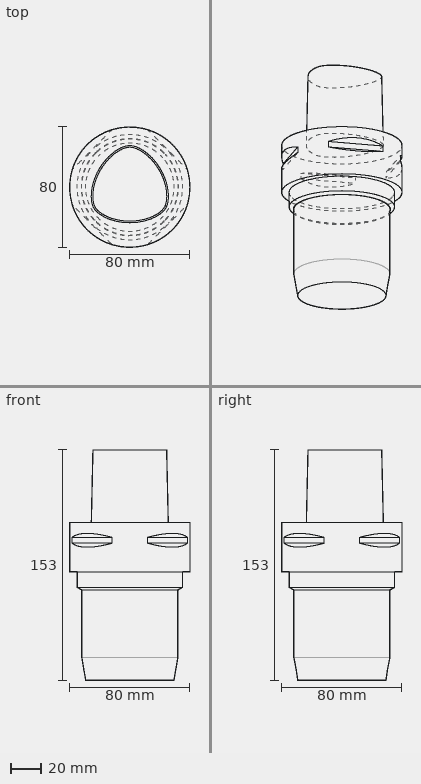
import cadquery as cq
import math

total_height = 153.0
collar_top = 105.0
collar_bottom = 72.0
step_bottom = 60.1
nose_top = 15.1

collar_radius = 80.0 / 2
step_radius = 70.0 / 2
body_radius = 64.0 / 2
nose_end_radius = 58.8 / 2
step_chamfer_height = 1.7
step_chamfer_width = 2.8

shank_base_diameter = 51.3
shank_top_diameter = 49.1
shank_eccentricity = 2.0
curve_points = 72

notch_count = 4
notch_first_angle = 45.0
notch_center_height = 93.0
notch_floor_height = 3.8
notch_floor_distance = 35.3
notch_flank_angle = 30.0
notch_overshoot = 1.5


def turned_body():
    profile = (
        cq.Workplane("XZ")
        .lineTo(nose_end_radius, 0)
        .lineTo(body_radius, nose_top)
        .lineTo(body_radius, step_bottom)
        .lineTo(step_radius - step_chamfer_width, step_bottom)
        .lineTo(step_radius, step_bottom + step_chamfer_height)
        .lineTo(step_radius, collar_bottom)
        .lineTo(collar_radius, collar_bottom)
        .lineTo(collar_radius, collar_top)
        .lineTo(0, collar_top)
        .close()
    )
    return profile.revolve(360, (0, 0, 0), (0, 1, 0))


def lobed_section(diameter, height):
    """Closed constant-width outline with one lobe pointing along +Y."""
    radius = diameter / 2
    e = shank_eccentricity

    def point(t):
        x = radius * math.sin(t) + 2 * e * math.sin(2 * t) + e * math.sin(4 * t)
        y = -radius * math.cos(t) + 2 * e * math.cos(2 * t) - e * math.cos(4 * t)
        return cq.Vector(x, y, height)

    points = [point(2 * math.pi * i / curve_points) for i in range(curve_points)]
    return cq.Wire.assembleEdges([cq.Edge.makeSpline(points, periodic=True)])


def shank():
    base = lobed_section(shank_base_diameter, collar_top)
    top = lobed_section(shank_top_diameter, total_height)
    return cq.Workplane(cq.Solid.makeLoft([base, top], True))


def notch_cutter(angle):
    """Trapezoidal prism that cuts a flat floor and two sloping flanks."""
    outer_distance = collar_radius + notch_overshoot
    flank_slope = math.tan(math.radians(notch_flank_angle))
    flank_rise = (outer_distance - notch_floor_distance) * flank_slope
    half_floor = notch_floor_height / 2
    half_mouth = half_floor + flank_rise
    return (
        cq.Workplane("XZ")
        .moveTo(notch_floor_distance, notch_center_height - half_floor)
        .lineTo(outer_distance, notch_center_height - half_mouth)
        .lineTo(outer_distance, notch_center_height + half_mouth)
        .lineTo(notch_floor_distance, notch_center_height + half_floor)
        .close()
        .extrude(collar_radius, both=True)
        .rotate((0, 0, 0), (0, 0, 1), angle)
    )


result = turned_body().union(shank())
for index in range(notch_count):
    result = result.cut(notch_cutter(notch_first_angle + index * 360 / notch_count))